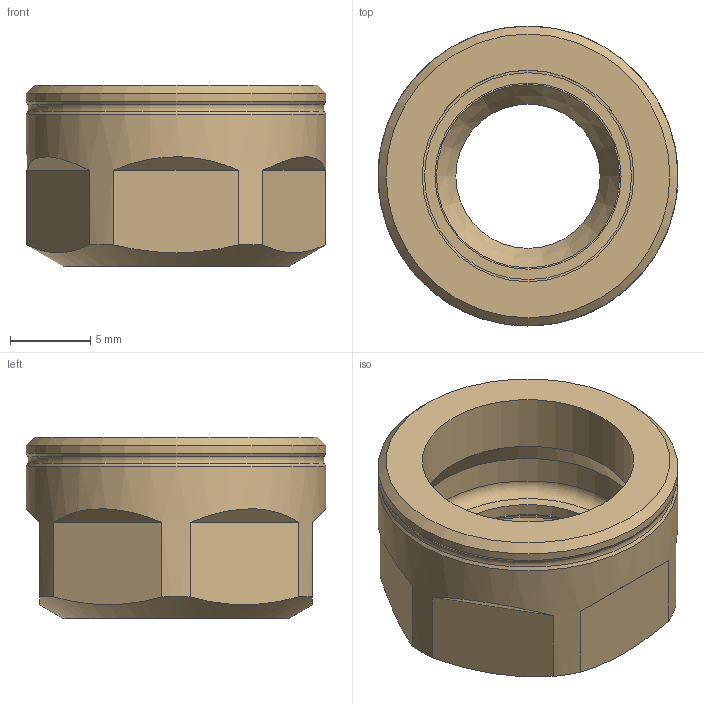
import cadquery as cq
import math

outer_radius = 18.7 / 2
height = 11.3
top_chamfer = 0.5
bottom_face_radius = 7.0
bottom_chamfer_angle = 30.0

groove_top_depth = 1.0
groove_flank_height = 0.2
groove_flank_angle = 30.0
groove_root_width = 0.4
groove_root_radius = 0.6

across_flats = 17.0
flat_top = 6.0
flat_count = 6

thread_radius = 13.19 / 2
thread_depth = 3.55
relief_radius = 14.5 / 2
relief_start_depth = 4.95
floor_depth = 7.45
floor_fillet = 0.8
seat_radius = 11.6 / 2
seat_depth = 8.2
cone_mouth_radius = 5.71
cone_mouth_height = 0.13
cone_half_angle = 30.0
through_radius = 9.0 / 2


def make_body():
    """Solid of revolution with chamfered ends and the outer groove."""
    flank_radius = outer_radius - groove_flank_height * math.tan(math.radians(groove_flank_angle))
    half_root = groove_root_width / 2
    root_sagitta = groove_root_radius - math.sqrt(groove_root_radius**2 - half_root**2)
    groove_top = height - groove_top_depth
    root_top = groove_top - groove_flank_height
    root_bottom = root_top - groove_root_width
    groove_bottom = root_bottom - groove_flank_height
    bottom_chamfer_width = outer_radius - bottom_face_radius
    bottom_chamfer_height = bottom_chamfer_width * math.tan(math.radians(bottom_chamfer_angle))
    profile = (
        cq.Workplane("XZ")
        .moveTo(0, 0)
        .lineTo(bottom_face_radius, 0)
        .lineTo(outer_radius, bottom_chamfer_height)
        .lineTo(outer_radius, groove_bottom)
        .lineTo(flank_radius, root_bottom)
        .threePointArc((flank_radius - root_sagitta, root_bottom + half_root), (flank_radius, root_top))
        .lineTo(outer_radius, groove_top)
        .lineTo(outer_radius, height - top_chamfer)
        .lineTo(outer_radius - top_chamfer, height)
        .lineTo(0, height)
        .close()
    )
    return profile.revolve(360, (0, 0, 0), (0, 1, 0))


def make_cavity():
    """Threaded bore, relief, filleted floor, seat bore with ledge, collet cone and through hole."""
    floor_z = height - floor_depth
    seat_z = height - seat_depth
    cone_top_z = seat_z - cone_mouth_height
    cone_width = cone_mouth_radius - through_radius
    cone_bottom_z = cone_top_z - cone_width / math.tan(math.radians(cone_half_angle))
    corner_inset = floor_fillet * (1 - math.sqrt(0.5))
    profile = (
        cq.Workplane("XZ")
        .moveTo(0, height)
        .lineTo(thread_radius, height)
        .lineTo(thread_radius, height - thread_depth)
        .lineTo(relief_radius, height - relief_start_depth)
        .lineTo(relief_radius, floor_z + floor_fillet)
        .threePointArc(
            (relief_radius - corner_inset, floor_z + corner_inset),
            (relief_radius - floor_fillet, floor_z),
        )
        .lineTo(seat_radius, floor_z)
        .lineTo(seat_radius, seat_z)
        .lineTo(cone_mouth_radius, seat_z)
        .lineTo(cone_mouth_radius, cone_top_z)
        .lineTo(through_radius, cone_bottom_z)
        .lineTo(through_radius, 0)
        .lineTo(0, 0)
        .close()
    )
    return profile.revolve(360, (0, 0, 0), (0, 1, 0))


def make_flat_cutter():
    """Prism that cuts the flat facing +Y, with a 45 degree run-out plane above it."""
    flat_distance = across_flats / 2
    reach = outer_radius
    return (
        cq.Workplane("YZ")
        .moveTo(flat_distance, 0)
        .lineTo(flat_distance, flat_top)
        .lineTo(flat_distance + reach, flat_top + reach)
        .lineTo(flat_distance + reach, 0)
        .close()
        .extrude(outer_radius, both=True)
    )


result = make_body().cut(make_cavity())
flat_cutter = make_flat_cutter()
for index in range(flat_count):
    turn = index * 360 / flat_count
    result = result.cut(flat_cutter.rotate((0, 0, 0), (0, 0, 1), turn))